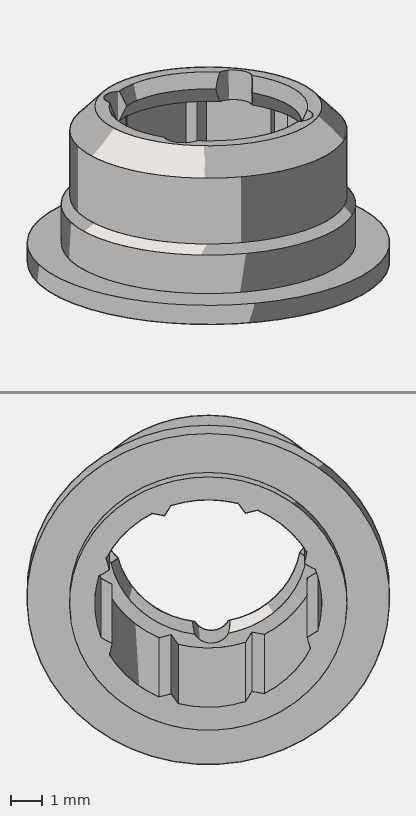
import cadquery as cq
import math

total_height = 5.6
body_radius = 8.8 / 2
collar_radius = 9.35 / 2
flange_radius = 11.5 / 2
flange_bottom = 0.35
flange_top = 1.0
collar_top = 2.3
collar_chamfer = collar_radius - body_radius
top_chamfer = 0.8

bore_radius = 3.6
mouth_radius = 3.15
throat_radius = 2.94
lip_depth = 1.0
throat_depth = lip_depth / 2

rib_count = 8
rib_height = 0.25
rib_half_width = 0.33

notch_count = 4
notch_radius = 0.6
notch_centre_radius = 2.83
notch_start_angle = 22.5


def revolve_profile(points):
    """Turn a closed (radius, height) outline about the Z axis."""
    return cq.Workplane("XZ").polyline(points).close().revolve(360, (0, 0, 0), (0, 1, 0))


def make_outside():
    return revolve_profile([
        (0, 0),
        (body_radius, 0),
        (body_radius, flange_bottom),
        (flange_radius, flange_bottom),
        (flange_radius, flange_top),
        (collar_radius, flange_top),
        (collar_radius, collar_top),
        (body_radius, collar_top + collar_chamfer),
        (body_radius, total_height - top_chamfer),
        (body_radius - top_chamfer, total_height),
        (0, total_height),
    ])


def make_bore():
    return revolve_profile([
        (0, 0),
        (bore_radius, 0),
        (bore_radius, total_height - lip_depth),
        (mouth_radius, total_height - lip_depth),
        (throat_radius, total_height - throat_depth),
        (mouth_radius, total_height),
        (0, total_height),
    ])


def make_rib(angle):
    """Triangular rib whose base is sunk into the wall, reaching up to the underside of the lip."""
    base_radius = math.sqrt(bore_radius**2 - rib_half_width**2)
    sunk_radius = (bore_radius + body_radius) / 2
    outline = [
        (bore_radius - rib_height, 0),
        (base_radius, rib_half_width),
        (sunk_radius, rib_half_width),
        (sunk_radius, -rib_half_width),
        (base_radius, -rib_half_width),
    ]
    rib = cq.Workplane("XY").polyline(outline).close().extrude(total_height - lip_depth)
    return rib.rotate((0, 0, 0), (0, 0, 1), angle)


def make_notch(angle):
    notch = cq.Workplane("XY").workplane(offset=total_height - lip_depth)
    notch = notch.center(notch_centre_radius, 0).circle(notch_radius).extrude(lip_depth)
    return notch.rotate((0, 0, 0), (0, 0, 1), angle)


result = make_outside().cut(make_bore())
for index in range(rib_count):
    result = result.union(make_rib(index * 360 / rib_count))
for index in range(notch_count):
    result = result.cut(make_notch(notch_start_angle + index * 360 / notch_count))